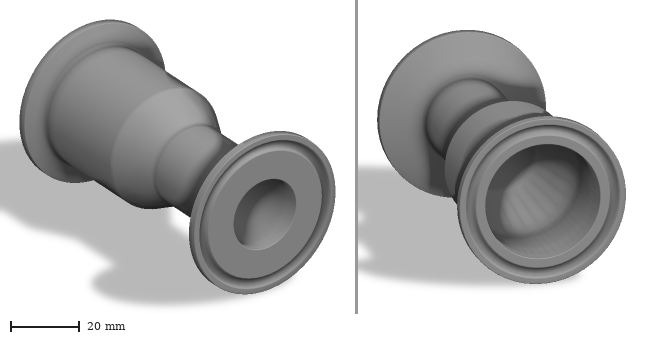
import cadquery as cq
import math

length = 88.9
large_tube_diameter = 38.1
large_bore_diameter = 34.8
small_tube_diameter = 25.4
small_bore_diameter = 22.1

cone_length = 12.7
cone_start = (length - cone_length) / 2
cone_end = cone_start + cone_length
taper_start = 22.4
taper_end = taper_start + 2 * cone_length

flange_diameter = 50.4
rim_width = 2.8
flange_back_angle = 20.0

groove_mean_radius = 21.8
groove_arc_radius = 1.25
groove_depth = 1.6
groove_flank_angle = 25.0

flange_root_fillet = 1.2
cone_fillet = 1.5
taper_fillet = 8.0
rim_fillet = 0.3
bore_mouth_fillet = 0.3
groove_lip_fillet = 0.45

large_radius = large_tube_diameter / 2
large_bore_radius = large_bore_diameter / 2
small_radius = small_tube_diameter / 2
small_bore_radius = small_bore_diameter / 2
flange_radius = flange_diameter / 2

flank_lean = math.radians(groove_flank_angle)
groove_arc_half_width = groove_arc_radius * math.cos(flank_lean)
groove_flank_depth = groove_depth - groove_arc_radius * (1 - math.sin(flank_lean))
groove_half_width = groove_arc_half_width + groove_flank_depth * math.tan(flank_lean)
groove_inner_radius = groove_mean_radius - groove_half_width
groove_outer_radius = groove_mean_radius + groove_half_width


def flange_depth(tube_radius):
    """Distance from the end face to where the sloped back meets the tube."""
    slope = math.tan(math.radians(flange_back_angle))
    return rim_width + (flange_radius - tube_radius) * slope


large_flange_root = flange_depth(large_radius)
small_flange_root = length - flange_depth(small_radius)


def make_body():
    """Revolve the wall section, drawn as (x, radius), about the X axis."""
    section = (
        cq.Workplane("XY")
        .moveTo(0, large_bore_radius)
        .lineTo(0, groove_inner_radius)
        .lineTo(groove_flank_depth, groove_mean_radius - groove_arc_half_width)
        .threePointArc(
            (groove_depth, groove_mean_radius),
            (groove_flank_depth, groove_mean_radius + groove_arc_half_width),
        )
        .lineTo(0, groove_outer_radius)
        .lineTo(0, flange_radius)
        .lineTo(rim_width, flange_radius)
        .lineTo(large_flange_root, large_radius)
        .lineTo(cone_start, large_radius)
        .lineTo(cone_end, small_radius)
        .lineTo(small_flange_root, small_radius)
        .lineTo(length - rim_width, flange_radius)
        .lineTo(length, flange_radius)
        .lineTo(length, groove_outer_radius)
        .lineTo(length - groove_flank_depth, groove_mean_radius + groove_arc_half_width)
        .threePointArc(
            (length - groove_depth, groove_mean_radius),
            (length - groove_flank_depth, groove_mean_radius - groove_arc_half_width),
        )
        .lineTo(length, groove_inner_radius)
        .lineTo(length, small_bore_radius)
        .lineTo(taper_end, small_bore_radius)
        .lineTo(taper_start, large_bore_radius)
        .close()
    )
    return section.revolve(360, (0, 0, 0), (1, 0, 0))


def round_rings(body, rings, fillet_radius):
    """Fillet the circular edges found at the given (x, radius) places."""
    tolerance = 0.001
    edges = [
        edge
        for edge in body.edges("%CIRCLE").vals()
        for x, radius in rings
        if abs(edge.Center().x - x) < tolerance and abs(edge.radius() - radius) < tolerance
    ]
    return body.newObject(edges).fillet(fillet_radius)


flange_roots = [(large_flange_root, large_radius), (small_flange_root, small_radius)]
cone_edges = [(cone_start, large_radius), (cone_end, small_radius)]
taper_edges = [(taper_start, large_bore_radius), (taper_end, small_bore_radius)]
rim_edges = [(x, flange_radius) for x in (0, rim_width, length - rim_width, length)]
groove_lips = [(x, radius) for x in (0, length) for radius in (groove_inner_radius, groove_outer_radius)]
bore_mouths = [(0, large_bore_radius), (length, small_bore_radius)]

result = make_body()
result = round_rings(result, flange_roots, flange_root_fillet)
result = round_rings(result, cone_edges, cone_fillet)
result = round_rings(result, taper_edges, taper_fillet)
result = round_rings(result, rim_edges, rim_fillet)
result = round_rings(result, groove_lips, groove_lip_fillet)
result = round_rings(result, bore_mouths, bore_mouth_fillet)